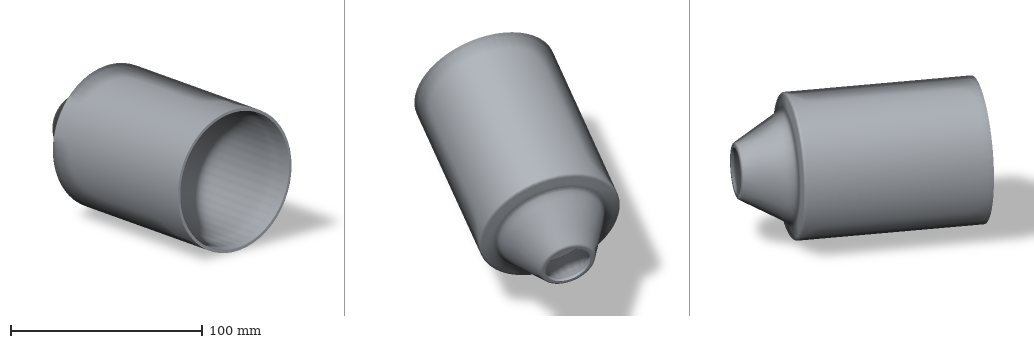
import cadquery as cq
import math

length = 129.5
body_diameter = 78.2
body_bore_diameter = 75.0
tip_hole_diameter = 25.0
tip_outer_radius = 14.9
cone_angle = 30.0
shoulder_angle = 10.0
shoulder_root_x = 26.7
tip_land = 1.5
shoulder_wall = 0.6
edge_radius = 1.5
inner_root_rounding = 2.6

body_radius = body_diameter / 2
bore_radius = body_bore_diameter / 2
hole_radius = tip_hole_diameter / 2
cone_slope = math.tan(math.radians(cone_angle))
shoulder_slope = math.tan(math.radians(shoulder_angle))

root_radius = tip_outer_radius + shoulder_root_x * cone_slope
shoulder_rim_x = shoulder_root_x + (body_radius - root_radius) * shoulder_slope

inner_shoulder_shift = shoulder_wall / math.cos(math.radians(shoulder_angle))


def inner_shoulder_x(radius):
    return shoulder_root_x + inner_shoulder_shift + (radius - root_radius) * shoulder_slope


inner_root_x = (inner_shoulder_x(hole_radius) - tip_land * cone_slope * shoulder_slope) / (
    1 - cone_slope * shoulder_slope
)
inner_root_radius = hole_radius + (inner_root_x - tip_land) * cone_slope


def revolve_about_x(profile_points):
    profile = cq.Workplane("XY").polyline(profile_points).close()
    return profile.revolve(360, (0, 0, 0), (1, 0, 0))


def outer_body():
    body = revolve_about_x([
        (0, 0),
        (0, tip_outer_radius),
        (shoulder_root_x, root_radius),
        (shoulder_rim_x, body_radius),
        (length, body_radius),
        (length, 0),
    ])
    front_region = cq.selectors.BoxSelector(
        (-1.3, -body_radius, -body_radius),
        (length / 2, body_radius, body_radius),
    )
    return body.edges("%CIRCLE").edges(front_region).fillet(edge_radius)


def cavity():
    hollow = revolve_about_x([
        (0, 0),
        (0, hole_radius),
        (tip_land, hole_radius),
        (inner_root_x, inner_root_radius),
        (inner_shoulder_x(bore_radius), bore_radius),
        (length, bore_radius),
        (length, 0),
    ])
    inner_root_region = cq.selectors.BoxSelector(
        (inner_root_x - inner_root_rounding / 2, -body_radius, -body_radius),
        (inner_root_x + inner_root_rounding / 2, body_radius, body_radius),
    )
    inner_root_edge = hollow.edges("%CIRCLE").edges(inner_root_region)
    return inner_root_edge.fillet(inner_root_rounding)


result = outer_body().cut(cavity())